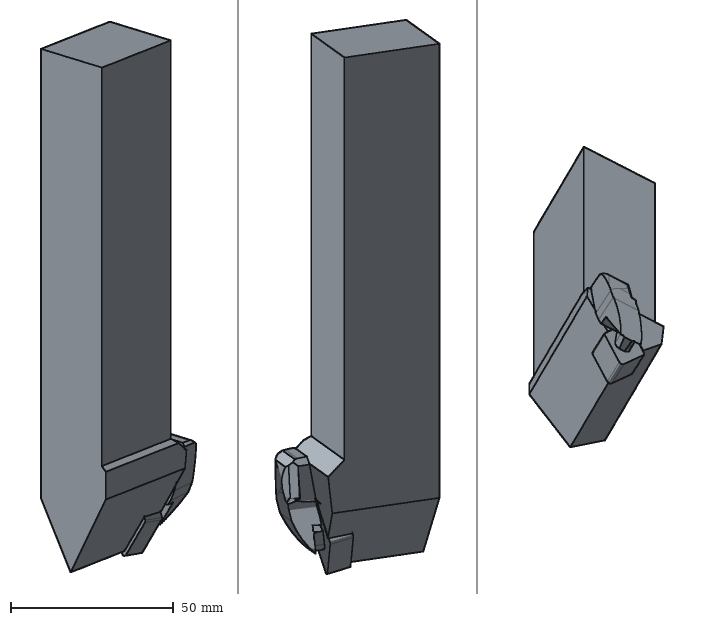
import cadquery as cq
import math

shank_width = 25.0
shank_depth = 32.0
top_z = 171.4

head_width = 26.5
head_back_y = 37.5
head_back_tilt = 6.5
head_back_top_z = 36.0
head_back_slope_z = 40.8
side_step_top_z = head_back_slope_z
side_step_bottom_z = 39.2
left_shoulder_z = 24.0
right_shoulder_z = 30.2
head_tip_x = 12.2
head_tip_z = 2.7

insert_side = 15.5
insert_angle = 55.0
insert_thickness = 7.9
insert_nose_radius = 0.9
insert_tilt = 9.0
insert_tip_x = head_tip_x
insert_tip_y = 32.5

clamp_base_y = 30.8
clamp_height = 15.5
clamp_draft = 3.0
clamp_end_z = 38.2
clamp_nose_z = 8.0
clamp_crown_y = 45.5

clamp_end_left_x = 15.3
clamp_end_right_x = 25.0
clamp_nose_right_x = 15.5
clamp_nose_left_x = 1.7
clamp_right_side = [(26.0, 36.8), (23.3, 22.3), (22.1, 18.8)]
clamp_left_side = [(5.1, 24.5), (11.8, 25.0), (13.7, 35.8)]

rear_chamfer = [(41.8, 37.5), (44.5, 35.1)]
crown_peak = (clamp_crown_y, 30.5)
crown_front = (45.2, 26.4)
nose_start = (44.2, 18.7)
nose_middle = (41.6, 13.0)
nose_end = (37.5, clamp_nose_z)

foot_left = (5.8, clamp_base_y)
foot_right = (26.4, clamp_base_y)
left_shoulder = [(10.0, 42.7), (12.9, 44.5), (17.5, clamp_crown_y)]
right_shoulder = [(23.3, 44.7), (25.2, 43.5), (25.7, 41.5)]

flank_bottom = (3.6, 0)
flank_top = (10.3, 23.1)
flank_lean = 14.0
bevel_base_y = 41.3
bevel_bottom = (13.0, 25.7)
bevel_top = (14.5, clamp_end_z)
bevel_lean = 28.0
crown_bevel_base_y = 43.7
crown_bevel_bottom = (14.2, 25.7)
crown_bevel_top = (15.8, clamp_end_z)
crown_bevel_lean = 48.0

pad_top_y = 38.0
pad_end_z = 17.1
pad_x = 12.7
pad_radius = 2.5
pad_chamfer = 2.0
pad_flare = 0.5

half_angle = math.radians(insert_angle / 2)
tilt = math.radians(insert_tilt)

nose_loss = insert_nose_radius * (1 / math.sin(half_angle) - 1)
rake_plane = cq.Plane(
    origin=(insert_tip_x, insert_tip_y, 0),
    xDir=(1, 0, 0),
    normal=(0, -math.cos(tilt), math.sin(tilt)),
)


def head_back_at(z):
    """Y of the tilted back face of the head at height z."""
    return head_back_y + (z - head_back_top_z) * math.tan(math.radians(head_back_tilt))


def insert_prism(above, below):
    """Rhombic prism that reaches from above the rake plane to below it."""
    half_width = insert_side * math.sin(half_angle)
    half_length = insert_side * math.cos(half_angle)
    return (
        cq.Workplane(rake_plane)
        .workplane(offset=-above)
        .center(0, half_length - nose_loss)
        .polyline([(0, -half_length), (half_width, 0), (0, half_length), (-half_width, 0)])
        .close()
        .extrude(above + below)
        .edges(cq.selectors.ParallelDirSelector(rake_plane.zDir))
        .fillet(insert_nose_radius)
    )


def shank_and_head():
    """Bar with a pointed head, given by its front outline and its side outline."""
    front = (
        cq.Workplane("XZ")
        .moveTo(0, top_z)
        .lineTo(shank_width, top_z)
        .lineTo(shank_width, side_step_top_z)
        .lineTo(head_width, side_step_bottom_z)
        .lineTo(head_width, right_shoulder_z)
        .lineTo(head_tip_x, head_tip_z)
        .lineTo(0, left_shoulder_z)
        .close()
        .extrude(-head_back_y)
    )
    side = (
        cq.Workplane("YZ")
        .moveTo(0, 0)
        .lineTo(0, top_z)
        .lineTo(shank_depth, top_z)
        .lineTo(shank_depth, head_back_slope_z)
        .lineTo(head_back_y, head_back_top_z)
        .lineTo(head_back_at(0), 0)
        .close()
        .extrude(head_width)
    )
    return front.intersect(side)


def clamp_body():
    """Finger whose three outlines, along Y, X and Z, are intersected."""
    plan_points = [
        (clamp_end_left_x, clamp_end_z),
        (clamp_end_right_x, clamp_end_z),
        *clamp_right_side,
        (clamp_nose_right_x, clamp_nose_z),
        (clamp_nose_left_x, clamp_nose_z),
        *clamp_left_side,
    ]
    plan = (
        cq.Workplane("XZ", origin=(0, clamp_base_y, 0))
        .polyline(plan_points)
        .close()
        .extrude(-clamp_height, taper=clamp_draft)
    )
    side = (
        cq.Workplane("YZ")
        .moveTo(head_back_at(clamp_end_z), clamp_end_z)
        .lineTo(*rear_chamfer[0])
        .lineTo(*rear_chamfer[1])
        .threePointArc(crown_peak, crown_front)
        .lineTo(*nose_start)
        .threePointArc(nose_middle, nose_end)
        .lineTo(clamp_base_y, clamp_nose_z)
        .lineTo(clamp_base_y, pad_end_z)
        .lineTo(head_back_at(pad_end_z), pad_end_z)
        .close()
        .extrude(head_width)
    )
    end = (
        cq.Workplane("XY")
        .moveTo(*foot_left)
        .lineTo(*left_shoulder[0])
        .threePointArc(left_shoulder[1], left_shoulder[2])
        .lineTo(*right_shoulder[0])
        .threePointArc(right_shoulder[1], right_shoulder[2])
        .lineTo(*foot_right)
        .close()
        .extrude(clamp_end_z)
    )
    return plan.intersect(side).intersect(end)


def left_shaving(base_y, bottom, top, lean):
    """Cutter to the left of a line from bottom to top, its face leaning to the right with rising Y."""
    return (
        cq.Workplane("XZ", origin=(0, base_y, 0))
        .polyline([bottom, top, (-head_width, top[1]), (-head_width, bottom[1])])
        .close()
        .extrude(-clamp_height, taper=-lean)
    )


def nose_undercut():
    """Relief under the clamp nose that leaves a round-nosed pad standing."""
    depth = pad_top_y - clamp_base_y
    relief = cq.Workplane("XY").box(head_width, depth, pad_end_z, centered=False)
    pad = (
        cq.Workplane("XZ")
        .moveTo(pad_x - pad_radius + pad_chamfer, pad_end_z)
        .lineTo(pad_x - pad_radius - pad_flare, pad_end_z - pad_chamfer)
        .lineTo(pad_x - pad_radius, clamp_nose_z + pad_radius)
        .threePointArc((pad_x, clamp_nose_z), (pad_x + pad_radius, clamp_nose_z + pad_radius))
        .lineTo(pad_x + pad_radius, pad_end_z)
        .close()
        .extrude(-depth)
    )
    return relief.cut(pad).translate((0, clamp_base_y, 0))


def clamp():
    """Clamp finger with a leaning lower flank, a twice beveled left side and a pad under its nose."""
    flank = left_shaving(clamp_base_y, flank_bottom, flank_top, flank_lean)
    bevel = left_shaving(bevel_base_y, bevel_bottom, bevel_top, bevel_lean)
    crown_bevel = left_shaving(crown_bevel_base_y, crown_bevel_bottom, crown_bevel_top, crown_bevel_lean)
    return clamp_body().cut(flank).cut(bevel).cut(crown_bevel).cut(nose_undercut())


def holder_body():
    """Shank, head and clamp in one piece, with the insert pocket cut out."""
    head = shank_and_head().cut(insert_prism(clamp_height, insert_thickness))
    finger = clamp().cut(insert_prism(0, insert_thickness))
    return head.union(finger)


holder = holder_body()
insert = insert_prism(0, insert_thickness)
result = cq.Compound.makeCompound([holder.val(), insert.val()])